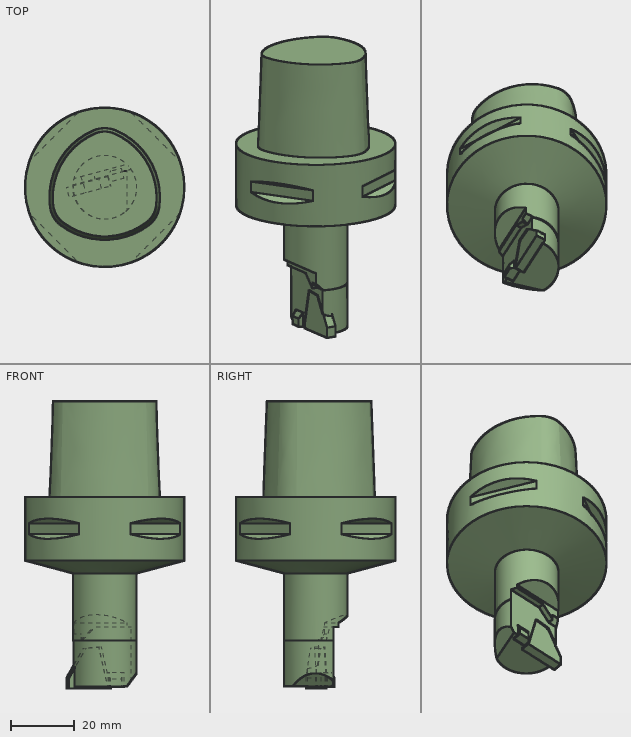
import cadquery as cq
import math

FLANGE_RADIUS = 25.0
FLANGE_HEIGHT = 20.0
CONE_HEIGHT = 4.0
GROOVE_MIDDLE_Z = -10.0
GROOVE_FLOOR_HEIGHT = 3.4
GROOVE_FLOOR_DISTANCE = 22.45
GROOVE_SIDE_ANGLE = 30.0
GROOVE_COUNT = 4

SHANK_HEIGHT = 30.0
SHANK_SIDE_INSET = 1.1
LOBE_COUNT = 3
LOBE_REACH = 18.55
FLANK_REACH = 16.48
LOBE_RADIUS = 8.8
FIRST_LOBE_ANGLE = 90.0

NECK_RADIUS = 10.0
HEAD_RADIUS = 9.89
HEAD_OFFSET = 0.11
HEAD_TOP_Z = -45.05
HEAD_BOTTOM_Z = -59.4
HEAD_CORNER_WIDTH = 3.0
HEAD_CORNER_HEIGHT = 4.1

CHIP_SPACE_TURN = 15.0
UPPER_FLOOR = 5.15
UPPER_FLOOR_TOP_Z = -39.5
RUNOUT_RISE_PER_DEPTH = 0.53
LOWER_FLOOR = 3.28
LOWER_FLOOR_TOP_Z = -40.8
STEP_INNER_END = (-6.3, -44.9)
STEP_CORNER_X = -2.24
RAMP_TOP_Z = -43.0
CUT_REACH = 15.0

OUTER_INSERT_RAKE = 3.0
OUTER_INSERT_THICKNESS = 3.1
TOOL_TIP_Z = -60.06
OUTER_INSERT_EDGE_X = -11.56
OUTER_INSERT_EDGE_TOP_Z = -56.7
OUTER_INSERT_UPPER_LEFT = (-6.13, -47.5)
OUTER_INSERT_UPPER_RIGHT = (-1.1, -47.0)

INNER_INSERT_X = (1.95, 6.56)
INNER_INSERT_SEAT = 1.2
INNER_INSERT_RAKE = 4.4
INNER_INSERT_FLANK_RUN = 1.1
INNER_INSERT_BOTTOM_Z = -59.65
INNER_INSERT_RAKE_TOP_Z = -57.0
INNER_INSERT_TOP_Z = -55.0

AXIS_START = (0, 0, 0)
AXIS_END = (0, 0, 1)


def polar(radius, degrees):
    angle = math.radians(degrees)
    return radius * math.cos(angle), radius * math.sin(angle)


def turn(part):
    """Turn a part from the +Y-facing set-up into the angle of the chip space."""
    return part.rotate(AXIS_START, AXIS_END, CHIP_SPACE_TURN)


def plate(outline, front, back):
    """Upright plate with an (x, z) outline, reaching from y = front to y = back."""
    return cq.Workplane("XZ", origin=(0, back, 0)).polyline(outline).close().extrude(back - front)


def bar_along_x(outline, start, end):
    """Bar with a (y, z) section, reaching from x = start to x = end."""
    return cq.Workplane("YZ", origin=(start, 0, 0)).polyline(outline).close().extrude(end - start)


def lobed_outline(z, inset):
    """Closed wire of tangent lobe and flank arcs, moved inwards by inset."""
    lobe_centre = LOBE_REACH - LOBE_RADIUS
    reach_step = FLANK_REACH - LOBE_RADIUS
    flank_centre = (lobe_centre**2 - reach_step**2) / (2 * reach_step - lobe_centre)
    half_pitch = math.radians(180 / LOBE_COUNT)
    lobe_half_angle = math.degrees(
        math.atan2(
            flank_centre * math.sin(half_pitch),
            lobe_centre + flank_centre * math.cos(half_pitch),
        )
    )
    radius = LOBE_RADIUS - inset

    def lobe_end(middle, side):
        centre = polar(lobe_centre, middle)
        arm = polar(radius, middle + side * lobe_half_angle)
        return centre[0] + arm[0], centre[1] + arm[1]

    pitch = 360 / LOBE_COUNT
    wire = cq.Workplane("XY", origin=(0, 0, z)).moveTo(*lobe_end(FIRST_LOBE_ANGLE, -1))
    for index in range(LOBE_COUNT):
        middle = FIRST_LOBE_ANGLE + index * pitch
        wire = wire.threePointArc(polar(LOBE_REACH - inset, middle), lobe_end(middle, 1))
        flank_middle = polar(FLANK_REACH - inset, middle + pitch / 2)
        wire = wire.threePointArc(flank_middle, lobe_end(middle + pitch, -1))
    return wire.close().wire().val()


def make_shank():
    wires = [lobed_outline(0, 0), lobed_outline(SHANK_HEIGHT, SHANK_SIDE_INSET)]
    return cq.Workplane(cq.Solid.makeLoft(wires, True))


def make_flange():
    cone_bottom = -FLANGE_HEIGHT - CONE_HEIGHT
    section = [
        (0, 0),
        (FLANGE_RADIUS, 0),
        (FLANGE_RADIUS, -FLANGE_HEIGHT),
        (NECK_RADIUS, cone_bottom),
        (NECK_RADIUS, HEAD_TOP_Z),
        (0, HEAD_TOP_Z),
    ]
    return cq.Workplane("XZ").polyline(section).close().revolve(360, (0, 0), (0, 1))


def make_gripper_groove(angle):
    """Straight V-sided groove across the rim of the flange."""
    depth = FLANGE_RADIUS - GROOVE_FLOOR_DISTANCE
    floor_half = GROOVE_FLOOR_HEIGHT / 2
    mouth_half = floor_half + depth * math.tan(math.radians(GROOVE_SIDE_ANGLE))
    section = [
        (GROOVE_FLOOR_DISTANCE, GROOVE_MIDDLE_Z - floor_half),
        (FLANGE_RADIUS, GROOVE_MIDDLE_Z - mouth_half),
        (FLANGE_RADIUS, GROOVE_MIDDLE_Z + mouth_half),
        (GROOVE_FLOOR_DISTANCE, GROOVE_MIDDLE_Z + floor_half),
    ]
    groove = cq.Workplane("XZ").polyline(section).close().extrude(FLANGE_RADIUS, both=True)
    return groove.rotate(AXIS_START, AXIS_END, angle)


def make_head():
    """Eccentric cylinder with its +X lower corner cut off."""
    head = (
        cq.Workplane("XY", origin=(HEAD_OFFSET, -HEAD_OFFSET, HEAD_BOTTOM_Z))
        .circle(HEAD_RADIUS)
        .extrude(HEAD_TOP_Z - HEAD_BOTTOM_Z)
    )
    side = HEAD_OFFSET + HEAD_RADIUS
    corner = [
        (side - HEAD_CORNER_WIDTH, HEAD_BOTTOM_Z),
        (side, HEAD_BOTTOM_Z),
        (side, HEAD_BOTTOM_Z + HEAD_CORNER_HEIGHT),
    ]
    return head.cut(plate(corner, -CUT_REACH, CUT_REACH))


def make_chip_space():
    """Stepped chip space: sloped run-out, upper floor, ramp and lower floor."""
    runout_rise = RUNOUT_RISE_PER_DEPTH * (CUT_REACH - UPPER_FLOOR)
    upper_section = [
        (UPPER_FLOOR, TOOL_TIP_Z),
        (UPPER_FLOOR, UPPER_FLOOR_TOP_Z),
        (CUT_REACH, UPPER_FLOOR_TOP_Z + runout_rise),
        (CUT_REACH, TOOL_TIP_Z),
    ]
    upper = bar_along_x(upper_section, -CUT_REACH, CUT_REACH)

    lower_outline = [
        (CUT_REACH, LOWER_FLOOR_TOP_Z),
        (STEP_CORNER_X, LOWER_FLOOR_TOP_Z),
        STEP_INNER_END,
        (-CUT_REACH, STEP_INNER_END[1]),
        (-CUT_REACH, TOOL_TIP_Z),
        (CUT_REACH, TOOL_TIP_Z),
    ]
    lower = plate(lower_outline, LOWER_FLOOR, CUT_REACH)

    ramp_section = [
        (UPPER_FLOOR, RAMP_TOP_Z),
        (LOWER_FLOOR, STEP_INNER_END[1]),
        (UPPER_FLOOR, STEP_INNER_END[1]),
    ]
    ramp = bar_along_x(ramp_section, -CUT_REACH, STEP_INNER_END[0])
    return turn(upper.union(lower).union(ramp))


def make_outer_insert(rake=OUTER_INSERT_RAKE):
    """Five-sided insert; a higher rake gives the pocket that is open to the chip space."""
    outline = [
        (OUTER_INSERT_EDGE_X, TOOL_TIP_Z),
        (OUTER_INSERT_EDGE_X, OUTER_INSERT_EDGE_TOP_Z),
        OUTER_INSERT_UPPER_LEFT,
        OUTER_INSERT_UPPER_RIGHT,
        (INNER_INSERT_X[0], TOOL_TIP_Z),
    ]
    return turn(plate(outline, OUTER_INSERT_RAKE - OUTER_INSERT_THICKNESS, rake))


def make_inner_insert():
    """Raised insert next to the axis, with a sloped flank and a sloped top."""
    flank_x, end_x = INNER_INSERT_X
    front_section = [
        (flank_x, INNER_INSERT_SEAT),
        (flank_x, OUTER_INSERT_RAKE),
        (flank_x + INNER_INSERT_FLANK_RUN, INNER_INSERT_RAKE),
        (end_x, INNER_INSERT_RAKE),
        (end_x, INNER_INSERT_SEAT),
    ]
    block = (
        cq.Workplane("XY", origin=(0, 0, INNER_INSERT_BOTTOM_Z))
        .polyline(front_section)
        .close()
        .extrude(INNER_INSERT_TOP_Z - INNER_INSERT_BOTTOM_Z)
    )
    top_wedge = [
        (LOWER_FLOOR, INNER_INSERT_TOP_Z),
        (INNER_INSERT_RAKE, INNER_INSERT_RAKE_TOP_Z),
        (INNER_INSERT_RAKE, INNER_INSERT_TOP_Z),
    ]
    return turn(block.cut(bar_along_x(top_wedge, flank_x, end_x)))


outer_insert = make_outer_insert()
inner_insert = make_inner_insert()

holder = make_flange().union(make_shank()).union(make_head())
for groove_index in range(GROOVE_COUNT):
    groove_angle = (groove_index + 0.5) * 360 / GROOVE_COUNT
    holder = holder.cut(make_gripper_groove(groove_angle))
holder = holder.cut(make_chip_space())
holder = holder.cut(make_outer_insert(rake=LOWER_FLOOR)).cut(inner_insert)

result = cq.Compound.makeCompound([holder.val(), outer_insert.val(), inner_insert.val()])